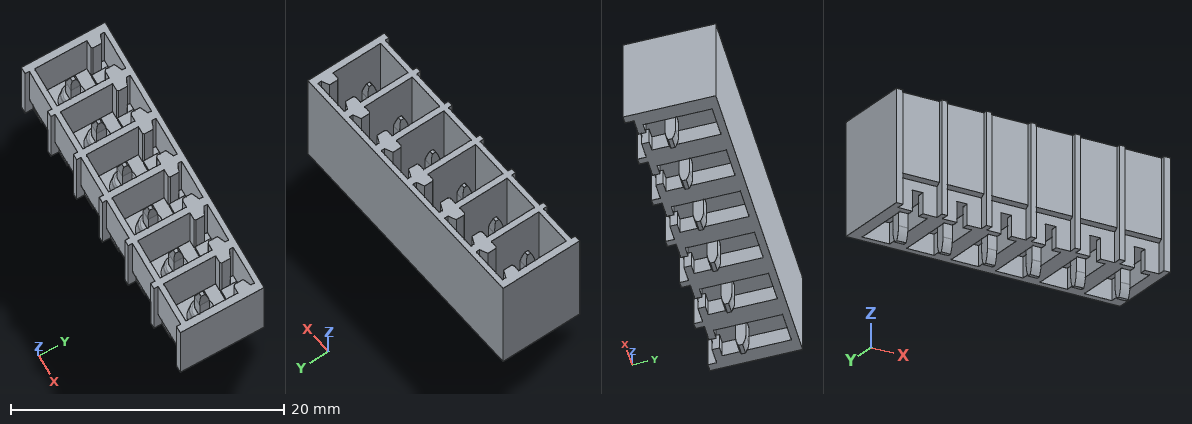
import cadquery as cq

POLES = 6
PITCH = 3.82
LENGTH = 23.55
DEPTH = 7.06
HOUSING_HEIGHT = 9.2
PIN_REACH = 1.48
END_MARGIN = (LENGTH - (POLES - 1) * PITCH) / 2
POLE_CENTERS = [END_MARGIN + i * PITCH for i in range(POLES)]

BAY_WIDTH = 3.35
WALL_FRONT = 0.35
SKIRT_FRONT = 0.68
SKIRT_TOP = 2.47
WALL_BOTTOM = 2.68

POCKET_WIDTH = 3.3
POCKET_FRONT = 0.8
POCKET_BACK = 5.18
POCKET_FLOOR = 2.7

NECK_WIDTH = 1.88
NECK_CHAMFER = 0.12
HEAD_WIDTH = 3.15
HEAD_CORNER = 6.3
FLARE_START = 6.03
HEAD_BACK = 6.62
LEDGE_SIDE_GAP = 0.02
LEDGE_BACK_GAP = 0.1
LEDGE_HEIGHT = 0.47

CAVITY_WIDTH = 2.35
CAVITY_FRONT = 1.25
CAVITY_BACK = 6.5
CAVITY_CEILING = 1.7
SLOT_WIDTH = 0.9

COLLAR_BASE_DIAMETER = 2.2
COLLAR_SHOULDER_DIAMETER = 1.81
COLLAR_TOP_DIAMETER = 1.45
COLLAR_HEIGHT = 1.53

PIN_Y = 3.09
PIN_SIZE = 0.8
PIN_TOP = 7.85
TIP_SIZE = 0.3
TIP_LENGTH = 1.1
TIP_BULGE = 0.75


def block(x_center, width, y_front, y_back, z_bottom, z_top):
    """A box centred on x_center, placed by its Y and Z limits."""
    return (
        cq.Workplane("XY")
        .box(width, y_back - y_front, z_top - z_bottom, centered=(True, False, False))
        .translate((x_center, y_front, z_bottom))
    )


def front_bay(x):
    """Space removed in front of the wall; its rear steps back through a slope near the bottom."""
    return (
        cq.Workplane("YZ")
        .polyline(
            [
                (0, 0),
                (SKIRT_FRONT, 0),
                (SKIRT_FRONT, SKIRT_TOP),
                (WALL_FRONT, WALL_BOTTOM),
                (WALL_FRONT, HOUSING_HEIGHT),
                (0, HOUSING_HEIGHT),
            ]
        )
        .close()
        .extrude(BAY_WIDTH / 2, both=True)
        .translate((x, 0, 0))
    )


def keying_slot(x):
    """T-shaped slot with a chamfered mouth, open to the pocket."""
    neck = NECK_WIDTH / 2
    head = HEAD_WIDTH / 2
    mouth = neck + NECK_CHAMFER
    right_side = [
        (mouth, POCKET_BACK),
        (neck, POCKET_BACK + NECK_CHAMFER),
        (neck, FLARE_START),
        (head, HEAD_CORNER),
        (head, HEAD_BACK),
    ]
    left_side = [(-px, py) for px, py in reversed(right_side)]
    return (
        cq.Workplane("XY")
        .polyline(right_side + left_side)
        .close()
        .extrude(HOUSING_HEIGHT - POCKET_FLOOR)
        .translate((x, 0, POCKET_FLOOR))
    )


def ledge(x):
    """Raised floor in the neck of the keying slot."""
    return block(
        x,
        NECK_WIDTH - 2 * LEDGE_SIDE_GAP,
        POCKET_BACK,
        HEAD_BACK - LEDGE_BACK_GAP,
        CAVITY_CEILING,
        POCKET_FLOOR + LEDGE_HEIGHT,
    )


def collar(x):
    """Steep cone with a rounded rim around the pin on the pocket floor."""
    round_width = (COLLAR_SHOULDER_DIAMETER - COLLAR_TOP_DIAMETER) / 2
    shoulder = COLLAR_HEIGHT - round_width
    return (
        cq.Workplane("XZ")
        .moveTo(0, 0)
        .lineTo(COLLAR_BASE_DIAMETER / 2, 0)
        .lineTo(COLLAR_SHOULDER_DIAMETER / 2, shoulder)
        .radiusArc((COLLAR_TOP_DIAMETER / 2, COLLAR_HEIGHT), -round_width)
        .lineTo(0, COLLAR_HEIGHT)
        .close()
        .revolve(360, (0, 0), (0, 1))
        .translate((x, PIN_Y, POCKET_FLOOR))
    )


def pin_side():
    """Pin outline across Y: both ends narrow along arcs."""
    half = PIN_SIZE / 2
    tip = TIP_SIZE / 2
    middle = tip + TIP_BULGE * (half - tip)
    top_start = PIN_TOP - TIP_LENGTH
    top_middle = PIN_TOP - TIP_LENGTH / 2
    bottom_start = TIP_LENGTH - PIN_REACH
    bottom_middle = TIP_LENGTH / 2 - PIN_REACH
    return (
        cq.Workplane("YZ")
        .moveTo(half, top_start)
        .threePointArc((middle, top_middle), (tip, PIN_TOP))
        .lineTo(-tip, PIN_TOP)
        .threePointArc((-middle, top_middle), (-half, top_start))
        .lineTo(-half, bottom_start)
        .threePointArc((-middle, bottom_middle), (-tip, -PIN_REACH))
        .lineTo(tip, -PIN_REACH)
        .threePointArc((middle, bottom_middle), (half, bottom_start))
        .close()
        .extrude(half, both=True)
    )


def pin_front():
    """Pin outline across X: the top narrows along straight slopes and the bottom stays full width."""
    half = PIN_SIZE / 2
    tip = TIP_SIZE / 2
    shoulder = PIN_TOP - TIP_LENGTH
    return (
        cq.Workplane("XZ")
        .polyline(
            [
                (-half, -PIN_REACH),
                (half, -PIN_REACH),
                (half, shoulder),
                (tip, PIN_TOP),
                (-tip, PIN_TOP),
                (-half, shoulder),
            ]
        )
        .close()
        .extrude(half, both=True)
    )


def contact_pin(x):
    """Square pin: the top tapers on four sides, the bottom on its front and back only."""
    return pin_side().intersect(pin_front()).translate((x, PIN_Y, 0))


def pin_hole(x):
    """Square passage that fits the pin through the floor and collar."""
    return block(
        x,
        PIN_SIZE,
        PIN_Y - PIN_SIZE / 2,
        PIN_Y + PIN_SIZE / 2,
        CAVITY_CEILING,
        POCKET_FLOOR + COLLAR_HEIGHT,
    )


def make_housing():
    body = block(LENGTH / 2, LENGTH, 0, DEPTH, 0, HOUSING_HEIGHT)
    for x in POLE_CENTERS:
        body = body.cut(front_bay(x))
        body = body.cut(block(x, POCKET_WIDTH, POCKET_FRONT, POCKET_BACK, POCKET_FLOOR, HOUSING_HEIGHT))
        body = body.cut(keying_slot(x))
        body = body.cut(block(x, CAVITY_WIDTH, CAVITY_FRONT, CAVITY_BACK, 0, CAVITY_CEILING))
        body = body.cut(block(x, SLOT_WIDTH, SKIRT_FRONT, CAVITY_FRONT, 0, CAVITY_CEILING))
        body = body.union(ledge(x))
        body = body.union(collar(x))
        body = body.cut(pin_hole(x))
    return body


housing = make_housing()
pins = [contact_pin(x) for x in POLE_CENTERS]

result = cq.Compound.makeCompound([housing.val(), *[pin.val() for pin in pins]])